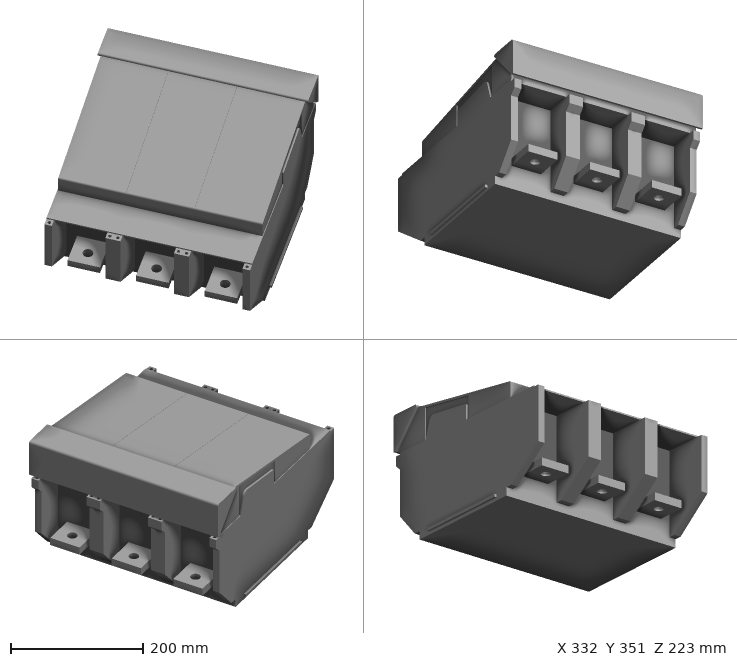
import cadquery as cq

OVERALL_WIDTH = 332.0
POLE_PITCH = 108.0
POLE_COUNT = 3
POLE_CENTERS = [(i - (POLE_COUNT - 1) / 2) * POLE_PITCH for i in range(POLE_COUNT)]
BODY_WIDTH = POLE_COUNT * POLE_PITCH

BODY_TOP = 158.5
ROOF_THICKNESS = 2.5
LEDGE_TOP = BODY_TOP - ROOF_THICKNESS
ROOF_FRONT = 11.5
ROOF_BACK = 339.5
FOOT_HEIGHT = 14.0
FOOT_FRONT = 78.3
FOOT_BACK = 291.7
FOOT_NOTCH = 12.0
FRONT_SLOPE_TOP = 63.2
BACK_SLOPE_TOP = 53.7
LUG_BACK = 349.5
LUG_BOTTOM = 140.5
LUG_SLOPE_BOTTOM = 130.5

CHAMBER_WIDTH = 84.2
TERMINAL_WIDTH = 51.2
TERMINAL_TOP = 53.0
TERMINAL_THICKNESS = 13.0
TERMINAL_FRONT = 27.5
TERMINAL_BACK = 342.2
TERMINAL_HOLE_DIAMETER = 16.0
TERMINAL_HOLE_INSET = 22.5
SCREW_OFFSET = 47.7
SCREW_HOLE_INSET = 5.5
SCREW_HOLE_DIAMETER = 5.3
SCREW_HOLE_DEPTH = 10.5

RAIL_FRONT = 102.0
RAIL_BACK = 267.8
RAIL_BOTTOM = 5.3
RAIL_HEIGHT = 5.0

COVER_WIDTH = 322.2
COVER_FRONT = 69.0
COVER_FRONT_TOP = 185.7
COVER_RIDGE_Y = 293.8
COVER_RIDGE_Z = 219.5
COVER_EDGE_RADIUS = 3.0
SEAM_WIDTH = 0.42
SEAM_DEPTH = 1.0

WINDOW_FRONT = 173.0
WINDOW_BACK = 280.0
WINDOW_MARGIN = 4.0
WINDOW_DEPTH = 2.5
FLAP_FRONT = 177.5
FLAP_FRONT_TOP = 185.0
FLAP_FRONT_RADIUS = 2.8
FLAP_BACK_TOP_Y = 264.5
FLAP_BACK_TOP_Z = 196.0
FLAP_BACK_RADIUS = 10.5
FLAP_BACK_BOTTOM = 277.0

HANDLE_BACK = 351.0
HANDLE_TOP = 223.0
HANDLE_BOTTOM = 163.0
HANDLE_BOTTOM_FRONT = 347.0
HANDLE_TOP_FRONT = 291.5
HANDLE_NOSE_RADIUS = 2.8
HANDLE_BACK_RADIUS = 4.2


def extrude_profile(points, width, center_x=0.0):
    """Extrude a closed (y, z) outline along X, centred on center_x."""
    plane = cq.Workplane("YZ", origin=(center_x - width / 2, 0, 0))
    return plane.polyline(points).close().extrude(width)


def box_between(center_x, width, y_range, z_range):
    """Box of the given X width spanning the given Y and Z ranges."""
    (y0, y1), (z0, z1) = y_range, z_range
    return extrude_profile([(y0, z0), (y1, z0), (y1, z1), (y0, z1)], width, center_x)


def cover_height(y):
    """Height of the sloping cover top at depth y."""
    slope = (COVER_RIDGE_Z - COVER_FRONT_TOP) / (COVER_RIDGE_Y - COVER_FRONT)
    return COVER_FRONT_TOP + slope * (y - COVER_FRONT)


def make_body():
    outline = [
        (FOOT_FRONT, 0),
        (FOOT_BACK, 0),
        (FOOT_BACK, FOOT_HEIGHT),
        (FOOT_BACK + FOOT_NOTCH, FOOT_HEIGHT),
        (ROOF_BACK, BACK_SLOPE_TOP),
        (ROOF_BACK, LUG_SLOPE_BOTTOM),
        (LUG_BACK, LUG_BOTTOM),
        (LUG_BACK, LEDGE_TOP),
        (ROOF_BACK, LEDGE_TOP),
        (ROOF_BACK, BODY_TOP),
        (ROOF_FRONT, BODY_TOP),
        (ROOF_FRONT, LEDGE_TOP),
        (0, LEDGE_TOP),
        (0, FRONT_SLOPE_TOP),
        (FOOT_FRONT - FOOT_NOTCH, FOOT_HEIGHT),
        (FOOT_FRONT, FOOT_HEIGHT),
    ]
    body = extrude_profile(outline, BODY_WIDTH)
    for x in POLE_CENTERS:
        for y_range in [(0, FOOT_FRONT), (FOOT_BACK, LUG_BACK)]:
            body = body.cut(box_between(x, CHAMBER_WIDTH, y_range, (0, LEDGE_TOP)))
    return body


def make_terminal_bar(x):
    """Bar through one pole, with a bolt hole near each end."""
    bar = box_between(
        x,
        TERMINAL_WIDTH,
        (TERMINAL_FRONT, TERMINAL_BACK),
        (TERMINAL_TOP - TERMINAL_THICKNESS, TERMINAL_TOP),
    )
    hole_points = [
        (x, TERMINAL_FRONT + TERMINAL_HOLE_INSET),
        (x, TERMINAL_BACK - TERMINAL_HOLE_INSET),
    ]
    holes = (
        cq.Workplane("XY", origin=(0, 0, TERMINAL_TOP))
        .pushPoints(hole_points)
        .circle(TERMINAL_HOLE_DIAMETER / 2)
        .extrude(-TERMINAL_THICKNESS)
    )
    return bar.cut(holes)


def make_screw_holes():
    """Blind holes in the wall tops in front of the roof and in the lug tops behind it."""
    points = [
        (x + side * SCREW_OFFSET, y)
        for x in POLE_CENTERS
        for side in (-1, 1)
        for y in (SCREW_HOLE_INSET, LUG_BACK - SCREW_HOLE_INSET)
    ]
    return (
        cq.Workplane("XY", origin=(0, 0, LEDGE_TOP))
        .pushPoints(points)
        .circle(SCREW_HOLE_DIAMETER / 2)
        .extrude(-SCREW_HOLE_DEPTH)
    )


def make_rails():
    """One bar through the foot that stands proud as a rail on both sides."""
    z_range = (RAIL_BOTTOM, RAIL_BOTTOM + RAIL_HEIGHT)
    return box_between(0, OVERALL_WIDTH, (RAIL_FRONT, RAIL_BACK), z_range)


def cover_outline(inset):
    """Cover (y, z) outline with its front and sloping top moved inwards."""
    front = COVER_FRONT + inset
    return [
        (front, BODY_TOP),
        (front, cover_height(front) - inset),
        (COVER_RIDGE_Y, COVER_RIDGE_Z - inset),
        (ROOF_BACK, COVER_RIDGE_Z - inset),
        (ROOF_BACK, BODY_TOP),
    ]


def make_cover():
    front_edge = cq.selectors.NearestToPointSelector((0, COVER_FRONT, COVER_FRONT_TOP))
    cover = extrude_profile(cover_outline(0), COVER_WIDTH).edges(front_edge).fillet(COVER_EDGE_RADIUS)

    for left, right in zip(POLE_CENTERS, POLE_CENTERS[1:]):
        seam_x = (left + right) / 2
        seam = box_between(seam_x, SEAM_WIDTH, (COVER_FRONT, COVER_RIDGE_Y), (BODY_TOP, COVER_RIDGE_Z))
        cover = cover.cut(seam.cut(extrude_profile(cover_outline(SEAM_DEPTH), SEAM_WIDTH, seam_x)))

    window = [
        (WINDOW_FRONT, BODY_TOP),
        (WINDOW_FRONT, cover_height(WINDOW_FRONT) - WINDOW_MARGIN),
        (WINDOW_BACK, cover_height(WINDOW_BACK) - WINDOW_MARGIN),
        (WINDOW_BACK, BODY_TOP),
    ]
    for side in (-1, 1):
        center_x = side * (COVER_WIDTH - WINDOW_DEPTH) / 2
        cover = cover.cut(extrude_profile(window, WINDOW_DEPTH, center_x))
    return cover


def make_flaps():
    """Slab through the cover whose two ends form the flaps, flush with the body sides."""
    outline = [
        (FLAP_FRONT, BODY_TOP),
        (FLAP_FRONT, FLAP_FRONT_TOP),
        (FLAP_BACK_TOP_Y, FLAP_BACK_TOP_Z),
        (FLAP_BACK_BOTTOM, BODY_TOP),
    ]
    front_corner = cq.selectors.NearestToPointSelector((0, FLAP_FRONT, FLAP_FRONT_TOP))
    back_corner = cq.selectors.NearestToPointSelector((0, FLAP_BACK_TOP_Y, FLAP_BACK_TOP_Z))
    flaps = extrude_profile(outline, BODY_WIDTH)
    flaps = flaps.edges(front_corner).fillet(FLAP_FRONT_RADIUS)
    return flaps.edges(back_corner).fillet(FLAP_BACK_RADIUS)


def make_handle():
    outline = [
        (HANDLE_BACK, HANDLE_BOTTOM),
        (HANDLE_BACK, HANDLE_TOP),
        (HANDLE_TOP_FRONT, HANDLE_TOP),
        (HANDLE_BOTTOM_FRONT, HANDLE_BOTTOM),
    ]
    back_edge = cq.selectors.NearestToPointSelector((0, HANDLE_BACK, HANDLE_TOP))
    nose_edge = cq.selectors.NearestToPointSelector((0, HANDLE_TOP_FRONT, HANDLE_TOP))
    handle = extrude_profile(outline, OVERALL_WIDTH)
    handle = handle.edges(back_edge).fillet(HANDLE_BACK_RADIUS)
    return handle.edges(nose_edge).fillet(HANDLE_NOSE_RADIUS)


result = make_body().cut(make_screw_holes())
for pole_x in POLE_CENTERS:
    result = result.union(make_terminal_bar(pole_x))
for piece in (make_rails(), make_cover(), make_flaps(), make_handle()):
    result = result.union(piece)